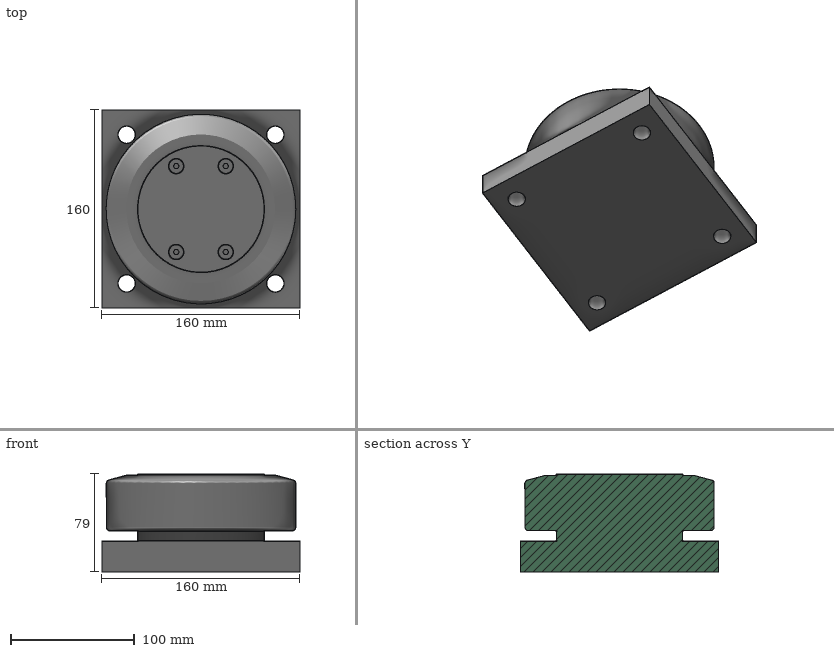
import cadquery as cq
import math

PLATE_SIDE = 160.0
PLATE_THICKNESS = 25.0
MOUNTING_HOLE_DIAMETER = 13.84
MOUNTING_HOLE_PITCH = 120.0

TOTAL_HEIGHT = 79.0
COLUMN_DIAMETER = 102.5
COLUMN_TOP_CHAMFER = 0.3
NECK_EDGE_CHAMFER = 0.6

DISC_RISE = 0.8
RING_TOP = TOTAL_HEIGHT - DISC_RISE
RING_HEIGHT = 45.0
RING_BOTTOM = RING_TOP - RING_HEIGHT
RING_DIAMETER = 153.0
RING_FLAT_DIAMETER = 120.0
RING_SLOPE = math.radians(15.0)
RING_FILLET = 3.0

SCREW_CIRCLE_RADIUS = 40.0
SCREW_ANGLES = (60.0, 120.0, 240.0, 300.0)
COUNTERSINK_DIAMETER = 12.4
SCREW_HEAD_DIAMETER = 11.7
SCREW_RECESS = (COUNTERSINK_DIAMETER - SCREW_HEAD_DIAMETER) / 2
HEX_ACROSS_FLATS = 4.0
HEX_DEPTH = 0.4


def make_plate():
    plate = cq.Workplane("XY").box(
        PLATE_SIDE, PLATE_SIDE, PLATE_THICKNESS, centered=(True, True, False)
    )
    return (
        plate.faces(">Z")
        .workplane()
        .rect(MOUNTING_HOLE_PITCH, MOUNTING_HOLE_PITCH, forConstruction=True)
        .vertices()
        .hole(MOUNTING_HOLE_DIAMETER)
    )


def make_column_section(bottom, top):
    return (
        cq.Workplane("XY", origin=(0, 0, bottom))
        .circle(COLUMN_DIAMETER / 2)
        .extrude(top - bottom)
    )


def make_neck():
    neck = make_column_section(PLATE_THICKNESS, RING_BOTTOM)
    return neck.faces("<Z or >Z").chamfer(NECK_EDGE_CHAMFER)


def make_top_disc():
    disc = make_column_section(RING_BOTTOM, TOTAL_HEIGHT)
    return disc.faces(">Z").chamfer(COLUMN_TOP_CHAMFER)


def make_ring():
    """Revolve a half section whose top slopes down to a rounded rim."""
    rim_radius = RING_DIAMETER / 2
    flat_radius = RING_FLAT_DIAMETER / 2
    rim_top = RING_TOP - (rim_radius - flat_radius) * math.tan(RING_SLOPE)
    ring = (
        cq.Workplane("XZ")
        .moveTo(0, RING_BOTTOM)
        .lineTo(rim_radius, RING_BOTTOM)
        .lineTo(rim_radius, rim_top)
        .lineTo(flat_radius, RING_TOP)
        .lineTo(0, RING_TOP)
        .close()
        .revolve(360, (0, 0, 0), (0, 1, 0))
    )
    rim_edges = cq.selectors.RadiusNthSelector(-1)
    return ring.edges(rim_edges).fillet(RING_FILLET)


def make_screw_recess(angle):
    """Shallow countersink over a screw head, with the head's hexagon socket below it."""
    x = SCREW_CIRCLE_RADIUS * math.cos(math.radians(angle))
    y = SCREW_CIRCLE_RADIUS * math.sin(math.radians(angle))
    countersink = (
        cq.Workplane("XY", origin=(x, y, TOTAL_HEIGHT - SCREW_RECESS))
        .circle(SCREW_HEAD_DIAMETER / 2)
        .workplane(offset=SCREW_RECESS)
        .circle(COUNTERSINK_DIAMETER / 2)
        .loft()
    )
    hex_across_corners = HEX_ACROSS_FLATS / math.cos(math.radians(30.0))
    socket = (
        cq.Workplane("XY", origin=(x, y, TOTAL_HEIGHT))
        .polygon(6, hex_across_corners)
        .extrude(-(SCREW_RECESS + HEX_DEPTH))
    )
    return countersink.union(socket)


result = make_plate().union(make_neck()).union(make_top_disc()).union(make_ring())
for screw_angle in SCREW_ANGLES:
    result = result.cut(make_screw_recess(screw_angle))